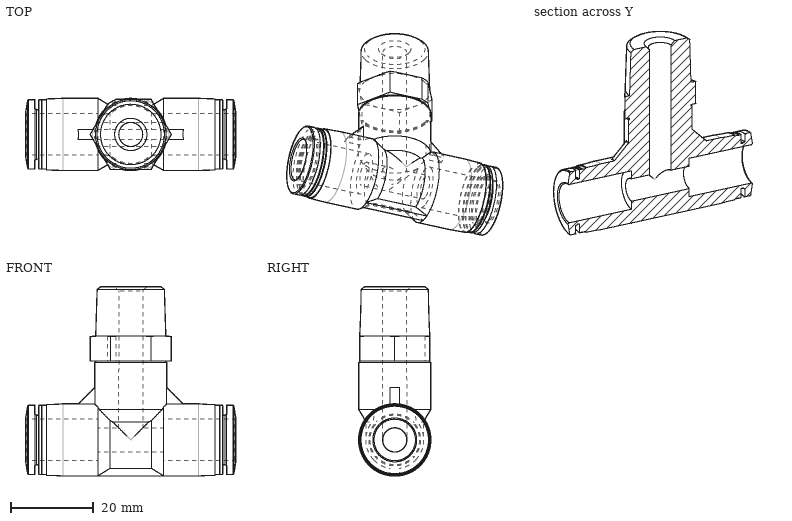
import cadquery as cq
import math

body_radius = 17.5 / 2
core_radius = 14.0 / 2
bore_radius = 5.8 / 2

run_half_length = 50.8 / 2
run_core_end = 5.0
run_shoulder = 7.95
run_taper_start = 16.4
run_taper_end = 20.4
run_body_end = 22.25
run_taper_end_radius = 8.6
sleeve_radius = 16.8 / 2
sleeve_chamfer = 0.15
sleeve_groove_center = 21.5
sleeve_groove_half_width = 0.1
sleeve_groove_depth = 0.1

neck_radius = 12.0 / 2
neck_root_end = 22.7
neck_flare_radius = 6.25
collar_start = 23.15
collar_rim = 24.7
collar_rim_chamfer_length = 0.22
collar_rim_chamfer_depth = 0.25
tube_radius = 10.0 / 2
tube_lead_in = 0.3

stem_core_end = 4.35
stem_shoulder = 7.35
stem_body_end = 18.75
hex_bottom = 19.05
hex_top = 25.05
stem_top = 45.75 - body_radius
hex_sides = 6
hex_across_flats = 17.0
hex_turned_radius = 9.2
hex_corner_drop = 0.12
rounded_edge_angle = 120
thread_taper = 1 / 16
thread_chamfer_height = 0.65
stem_face_radius = 7.3
mouth_radius = 3.9
mouth_depth = 1.0

web_thickness = 2.4
gusset_leg = 3.88

hex_flat_radius = hex_across_flats / 2
hex_corner_radius = hex_flat_radius / math.cos(math.pi / hex_sides)


def run_half():
    """One half of the run with its sleeve and release collar, solid, on +X."""
    groove_floor = sleeve_radius - sleeve_groove_depth
    rim_chamfer_end = collar_rim + collar_rim_chamfer_length
    return (
        cq.Workplane("XY")
        .moveTo(0, 0)
        .lineTo(0, core_radius)
        .lineTo(run_core_end, core_radius)
        .lineTo(run_shoulder, body_radius)
        .lineTo(run_taper_start, body_radius)
        .lineTo(run_taper_end, run_taper_end_radius)
        .lineTo(run_taper_end, sleeve_radius)
        .lineTo(sleeve_groove_center - sleeve_groove_half_width, sleeve_radius)
        .lineTo(sleeve_groove_center, groove_floor)
        .lineTo(sleeve_groove_center + sleeve_groove_half_width, sleeve_radius)
        .lineTo(run_body_end - sleeve_chamfer, sleeve_radius)
        .lineTo(run_body_end, sleeve_radius - sleeve_chamfer)
        .lineTo(run_body_end, neck_radius)
        .lineTo(neck_root_end, neck_radius)
        .lineTo(collar_start, neck_flare_radius)
        .lineTo(collar_start, sleeve_radius)
        .lineTo(collar_rim, sleeve_radius)
        .lineTo(rim_chamfer_end, sleeve_radius - collar_rim_chamfer_depth)
        .lineTo(run_half_length, tube_radius + tube_lead_in)
        .lineTo(run_half_length, 0)
        .close()
        .revolve(360, (0, 0, 0), (1, 0, 0))
    )


def stem():
    """Stem from the run axis up to the threaded end, without the hexagon."""
    thread_chamfer_start = stem_top - thread_chamfer_height
    thread_end_radius = hex_flat_radius - (thread_chamfer_start - hex_top) * thread_taper / 2
    return (
        cq.Workplane("XZ")
        .moveTo(0, 0)
        .lineTo(core_radius, 0)
        .lineTo(core_radius, stem_core_end)
        .lineTo(body_radius, stem_shoulder)
        .lineTo(body_radius, stem_body_end)
        .lineTo(hex_flat_radius, stem_body_end)
        .lineTo(hex_flat_radius, hex_top)
        .lineTo(thread_end_radius, thread_chamfer_start)
        .lineTo(stem_face_radius, stem_top)
        .lineTo(0, stem_top)
        .close()
        .revolve(360, (0, 0, 0), (0, 1, 0))
    )


def hexagon():
    """Wrench hexagon, corners on X, top corners turned down, one upright edge rounded off."""
    height = hex_top - hex_bottom
    prism = (
        cq.Workplane("XY")
        .workplane(offset=hex_bottom)
        .polygon(hex_sides, 2 * hex_corner_radius)
        .extrude(height)
    )
    turned_blank = (
        cq.Workplane("XZ")
        .moveTo(0, hex_bottom)
        .lineTo(hex_corner_radius, hex_bottom)
        .lineTo(hex_corner_radius, hex_top - hex_corner_drop)
        .lineTo(hex_turned_radius, hex_top)
        .lineTo(0, hex_top)
        .close()
        .revolve(360, (0, 0, 0), (0, 1, 0))
    )
    edge_block = (
        cq.Workplane("XY")
        .box(hex_corner_radius, hex_corner_radius, height, centered=(False, True, False))
        .cut(cq.Workplane("XY").circle(hex_turned_radius).extrude(height))
        .rotate((0, 0, 0), (0, 0, 1), rounded_edge_angle)
        .translate((0, 0, hex_bottom))
    )
    return prism.intersect(turned_blank).cut(edge_block)


def gussets():
    """Pair of 45 degree gussets between the stem and the run, as one triangular plate."""
    plate_apex = 2 * body_radius + gusset_leg
    return (
        cq.Workplane("XZ")
        .moveTo(-plate_apex, 0)
        .lineTo(plate_apex, 0)
        .lineTo(0, plate_apex)
        .close()
        .extrude(web_thickness / 2, both=True)
    )


def bottom_web():
    """Web under the run core, flush with the bottom of the two run bodies."""
    return (
        cq.Workplane("XY")
        .workplane(offset=-body_radius)
        .rect(2 * run_shoulder, web_thickness)
        .extrude(body_radius)
    )


def run_bore():
    """Through passage along X with a tube socket and lead-in at each end."""
    half = (
        cq.Workplane("XY")
        .moveTo(0, 0)
        .lineTo(0, bore_radius)
        .lineTo(run_shoulder, bore_radius)
        .lineTo(run_shoulder, tube_radius)
        .lineTo(run_half_length - tube_lead_in, tube_radius)
        .lineTo(run_half_length, tube_radius + tube_lead_in)
        .lineTo(run_half_length, 0)
        .close()
        .revolve(360, (0, 0, 0), (1, 0, 0))
    )
    return half.union(half.mirror("YZ"))


def stem_bore():
    """Passage from the run axis to the stem top, widened by a conical mouth."""
    return (
        cq.Workplane("XZ")
        .moveTo(0, 0)
        .lineTo(bore_radius, 0)
        .lineTo(bore_radius, stem_top - mouth_depth)
        .lineTo(mouth_radius, stem_top)
        .lineTo(0, stem_top)
        .close()
        .revolve(360, (0, 0, 0), (0, 1, 0))
    )


right_half = run_half()
tee = right_half.union(right_half.mirror("YZ"))
for feature in (stem(), hexagon(), gussets(), bottom_web()):
    tee = tee.union(feature)

result = tee.cut(run_bore()).cut(stem_bore())